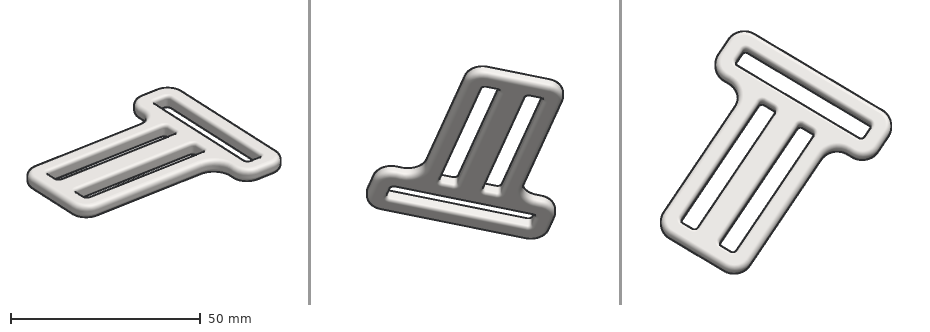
import cadquery as cq

total_length = 60.0
head_width = 50.0
head_depth = 15.0
stem_width = 27.0
thickness = 4.0
outer_edge_radius = 1.5
slot_corner_radius = 1.0
slot_edge_radius = 1.0

bar_width = head_depth / 3
slot_width = head_depth / 3
corner_radius = bar_width

top_y = total_length / 2
bottom_y = -total_length / 2
head_bottom_y = top_y - head_depth
head_center_y = top_y - head_depth / 2

stem_length = total_length - head_depth
stem_center_y = (head_bottom_y + bottom_y) / 2

head_slot_length = head_width - 2 * bar_width

stem_slot_length = stem_length - bar_width
stem_slot_center_y = head_bottom_y - stem_slot_length / 2
stem_slot_offset_x = stem_width / 2 - bar_width - slot_width / 2


def slab(size_x, size_y, center_x, center_y):
    """Rectangular block of the full thickness, centered on Z = 0."""
    block = cq.Workplane("XY").box(size_x, size_y, thickness)
    return block.translate((center_x, center_y, 0))


def make_body():
    """T-shaped plate with rounded corners and a rounded outer rim."""
    head = slab(head_width, head_depth, 0, head_center_y)
    stem = slab(stem_width, stem_length, 0, stem_center_y)
    plate = head.union(stem).edges("|Z").fillet(corner_radius)
    return plate.faces("<Z or >Z").edges().fillet(outer_edge_radius)


def cut_slot(body, size_x, size_y, center_x, center_y):
    """Cut a through slot with rounded corners and round its rim on both faces."""
    opening = slab(size_x, size_y, center_x, center_y)
    opening = opening.edges("|Z").fillet(slot_corner_radius)

    margin = slot_edge_radius
    half_x = size_x / 2 + margin
    half_y = size_y / 2 + margin
    around_slot = cq.selectors.BoxSelector(
        (center_x - half_x, center_y - half_y, -thickness),
        (center_x + half_x, center_y + half_y, thickness),
    )
    rims = body.cut(opening).faces("<Z or >Z").edges(around_slot)
    return rims.fillet(slot_edge_radius)


result = make_body()
result = cut_slot(result, head_slot_length, slot_width, 0, head_center_y)
for slot_x in (-stem_slot_offset_x, stem_slot_offset_x):
    result = cut_slot(result, slot_width, stem_slot_length, slot_x, stem_slot_center_y)